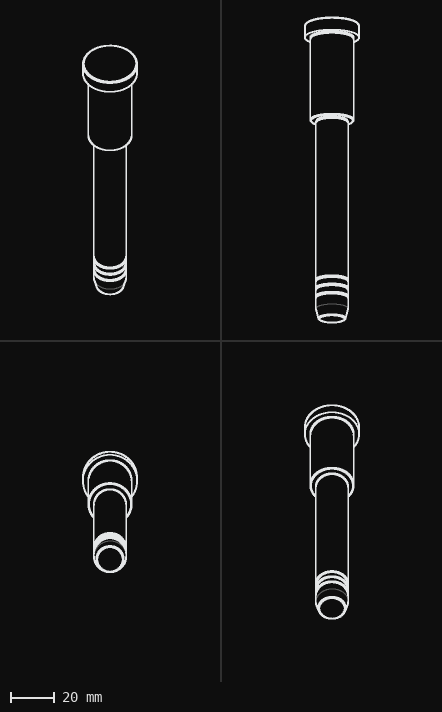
import cadquery as cq
import math

total_length = 141.0
head_diameter = 25.0
sleeve_diameter = 20.0
pin_diameter = 15.0

head_height = 6.0
sleeve_end_depth = 46.0

head_chamfer = 0.5
sleeve_chamfer = 0.4
tip_chamfer = 0.4

relief_width = 0.8
relief_depth = 0.35
ring_width = 1.0
ring_depth = 0.35
ring_count = 3
ring_pitch = 4.0
lowest_ring_height = 10.5

taper_length = 5.1
taper_angle = 14.0

head_bottom = total_length - head_height
sleeve_bottom = total_length - sleeve_end_depth


def cylinder(diameter, bottom, top):
    """Cylinder on the Z axis between two heights."""
    return cq.Workplane("XY").workplane(offset=bottom).circle(diameter / 2).extrude(top - bottom)


def groove(shaft_diameter, depth, bottom, width):
    """Square ring to cut from a shaft; it never reaches beyond the shaft surface."""
    outer = cylinder(shaft_diameter, bottom, bottom + width)
    core = cylinder(shaft_diameter - 2 * depth, bottom, bottom + width)
    return outer.cut(core)


def vee_groove(shaft_diameter, depth, center, width):
    """V-shaped ring, centred at one height, to cut from a shaft."""
    shaft_radius = shaft_diameter / 2
    profile = (
        cq.Workplane("XZ")
        .moveTo(shaft_radius, center - width / 2)
        .lineTo(shaft_radius - depth, center)
        .lineTo(shaft_radius, center + width / 2)
        .close()
    )
    return profile.revolve(360, (0, 0, 0), (0, 1, 0))


def tapered_pin():
    """Slender pin, from the tip up to the sleeve, with a conical lead-in."""
    pin_radius = pin_diameter / 2
    taper_slope = math.tan(math.radians(taper_angle))
    tip_radius = pin_radius - taper_length * taper_slope
    chamfer_radius = tip_radius + tip_chamfer * taper_slope
    profile = (
        cq.Workplane("XZ")
        .moveTo(0, 0)
        .lineTo(tip_radius - tip_chamfer, 0)
        .lineTo(chamfer_radius, tip_chamfer)
        .lineTo(pin_radius, taper_length)
        .lineTo(pin_radius, sleeve_bottom)
        .lineTo(0, sleeve_bottom)
        .close()
    )
    pin = profile.revolve(360, (0, 0, 0), (0, 1, 0))
    pin = pin.cut(groove(pin_diameter, relief_depth, sleeve_bottom - relief_width, relief_width))
    for index in range(ring_count):
        ring_center = lowest_ring_height + index * ring_pitch
        pin = pin.cut(vee_groove(pin_diameter, ring_depth, ring_center, ring_width))
    return pin


def sleeve():
    """Thicker shank under the head, chamfered at its lower end."""
    body = cylinder(sleeve_diameter, sleeve_bottom, head_bottom)
    body = body.faces("<Z").edges().chamfer(sleeve_chamfer)
    return body.cut(vee_groove(sleeve_diameter, relief_depth, head_bottom - relief_width / 2, relief_width))


def head():
    """Flat disc head with a broken top edge."""
    disc = cylinder(head_diameter, head_bottom, total_length)
    return disc.faces(">Z").edges().chamfer(head_chamfer)


result = tapered_pin().union(sleeve()).union(head())